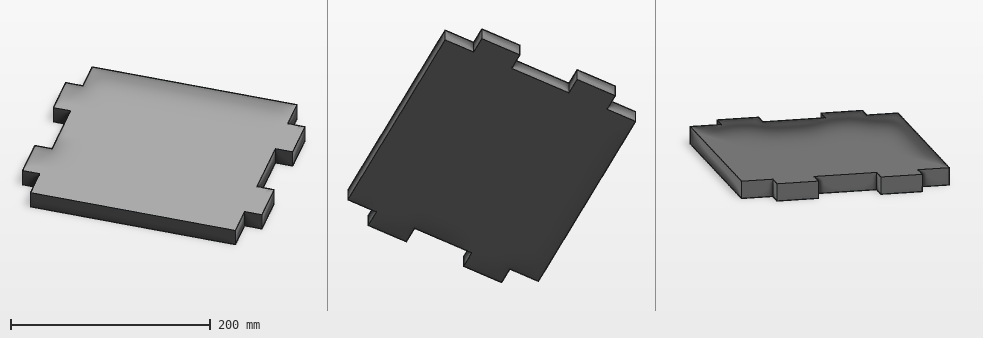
import cadquery as cq

overall_length = 250.0
thickness = 18.0
tab_width = 42.8

tab_projection = thickness
panel_side = overall_length - 2 * tab_projection
tab_offset = panel_side / 4


def make_panel():
    """Square panel centred on the origin."""
    return cq.Workplane("XY").box(panel_side, panel_side, thickness)


def make_tab_bars():
    """Two full-length bars whose ends form the four tabs."""
    return (
        cq.Workplane("XY")
        .pushPoints([(0, -tab_offset), (0, tab_offset)])
        .box(overall_length, tab_width, thickness)
    )


result = make_panel().union(make_tab_bars()).clean()